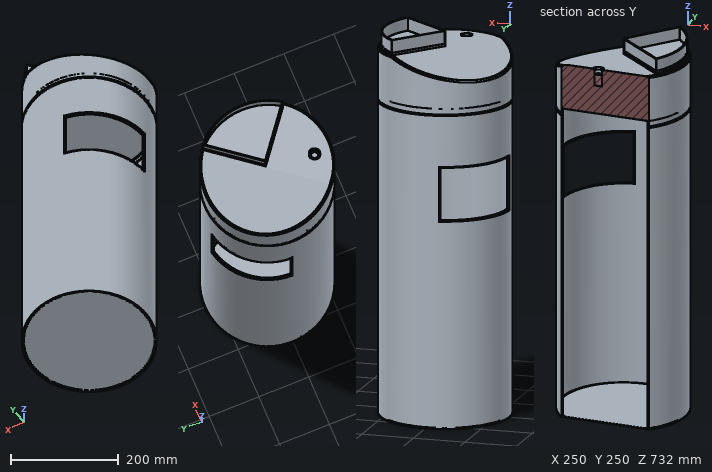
import cadquery as cq
import math

OUTER_DIAMETER = 250.0
SHELL_BORE = 246.0
SHELL_HEIGHT = 600.0
SHELL_FLOOR = (OUTER_DIAMETER - SHELL_BORE) / 2

LINER_DIAMETER = 244.0
LINER_BORE = 242.0
LINER_TOP = SHELL_HEIGHT + 13.0

WINDOW_BOTTOM = 397.5
WINDOW_HEIGHT = 105.0
WINDOW_START_ANGLE = 101.8
WINDOW_SWEEP = 77.7
LINER_WINDOW_INSET = 2.0
LINER_WINDOW_INSET_ANGLE = 1.2

CAP_GAP = 2.0
CAP_BOTTOM = SHELL_HEIGHT + CAP_GAP
CAP_TOP = 703.0
CAP_CHAMFER = 3.0
SLOPE_HEADING = 142.0
SLOPE_ANGLE = 18.0
SLOPE_START = 6.0

TOTAL_HEIGHT = 732.0
TRAY_HEIGHT = TOTAL_HEIGHT - CAP_TOP
TRAY_APEX = (-1.5, 4.0)
TRAY_SIDE = 121.5
TRAY_REACH = 118.5
TRAY_WALL = 1.5
TRAY_FLOOR = 4.5

LOCK_DIAMETER = 15.0
LOCK_LENGTH = 22.0
LOCK_RECESS = 11.0
LOCK_PLACE = (-14.0, -89.0)
COUNTERSINK_DIAMETER = 21.0
COUNTERSINK_ANGLE = 90.0


def polar(radius, angle):
    return radius * math.cos(math.radians(angle)), radius * math.sin(math.radians(angle))


def cylinder(diameter, bottom, top):
    return cq.Workplane("XY").workplane(offset=bottom).circle(diameter / 2).extrude(top - bottom)


def window_cutter(inset=0, inset_angle=0):
    """Block with radial sides, made smaller on all four sides by the insets."""
    start = WINDOW_START_ANGLE + inset_angle
    sweep = WINDOW_SWEEP - 2 * inset_angle
    reach = OUTER_DIAMETER
    return (
        cq.Workplane("XY")
        .workplane(offset=WINDOW_BOTTOM + inset)
        .moveTo(0, 0)
        .lineTo(*polar(reach, start))
        .threePointArc(polar(reach, start + sweep / 2), polar(reach, start + sweep))
        .close()
        .extrude(WINDOW_HEIGHT - 2 * inset)
    )


def make_shell():
    tube = cylinder(OUTER_DIAMETER, 0, SHELL_HEIGHT).cut(cylinder(SHELL_BORE, SHELL_FLOOR, SHELL_HEIGHT))
    return tube.cut(window_cutter())


def make_liner():
    tube = cylinder(LINER_DIAMETER, SHELL_FLOOR, LINER_TOP).cut(cylinder(LINER_BORE, SHELL_FLOOR, LINER_TOP))
    return tube.cut(window_cutter(LINER_WINDOW_INSET, LINER_WINDOW_INSET_ANGLE))


def slope_cutter():
    """Wedge between the level of the cap top and the sloped face."""
    reach = OUTER_DIAMETER
    fall = reach * math.tan(math.radians(SLOPE_ANGLE))
    return (
        cq.Workplane("XZ")
        .moveTo(SLOPE_START, CAP_TOP)
        .lineTo(SLOPE_START + reach, CAP_TOP - fall)
        .lineTo(SLOPE_START + reach, CAP_TOP)
        .close()
        .extrude(reach, both=True)
        .rotate((0, 0, 0), (0, 0, 1), SLOPE_HEADING)
    )


def make_cap():
    block = cylinder(OUTER_DIAMETER, CAP_BOTTOM, CAP_TOP).cut(slope_cutter())
    curved_edges = [edge for edge in block.edges().vals() if edge.geomType() in ("CIRCLE", "ELLIPSE")]
    rim = [edge for edge in curved_edges if edge.BoundingBox().zmax > CAP_BOTTOM + CAP_CHAMFER]
    block = block.newObject(rim).chamfer(CAP_CHAMFER)
    liner_socket = cylinder(SHELL_BORE, CAP_BOTTOM, LINER_TOP)
    return (
        block.cut(liner_socket)
        .faces(">Z")
        .workplane(origin=(0, 0, CAP_TOP))
        .center(*LOCK_PLACE)
        .cskHole(LOCK_DIAMETER, COUNTERSINK_DIAMETER, COUNTERSINK_ANGLE, LOCK_RECESS + LOCK_LENGTH)
    )


def tray_outline(bottom):
    """Sector with one side along the ridge; its curved side is flatter than an arc about the apex."""
    ridge_side = SLOPE_HEADING - 90
    return (
        cq.Workplane("XY")
        .workplane(offset=bottom)
        .moveTo(0, 0)
        .lineTo(*polar(TRAY_SIDE, ridge_side - 90))
        .threePointArc(polar(TRAY_REACH, ridge_side - 45), polar(TRAY_SIDE, ridge_side))
        .close()
    )


def make_tray():
    block = tray_outline(CAP_TOP).extrude(TRAY_HEIGHT)
    inside = tray_outline(CAP_TOP + TRAY_FLOOR).offset2D(-TRAY_WALL).extrude(TRAY_HEIGHT - TRAY_FLOOR)
    return block.cut(inside).translate((*TRAY_APEX, 0))


def make_lock_pin():
    top = CAP_TOP - LOCK_RECESS
    return cylinder(LOCK_DIAMETER, top - LOCK_LENGTH, top).translate((*LOCK_PLACE, 0))


shell = make_shell()
liner = make_liner()
cap = make_cap()
tray = make_tray()
lock_pin = make_lock_pin()

result = cq.Compound.makeCompound([
    shell.solids().val(),
    liner.solids().val(),
    cap.solids().val(),
    tray.solids().val(),
    lock_pin.solids().val(),
])